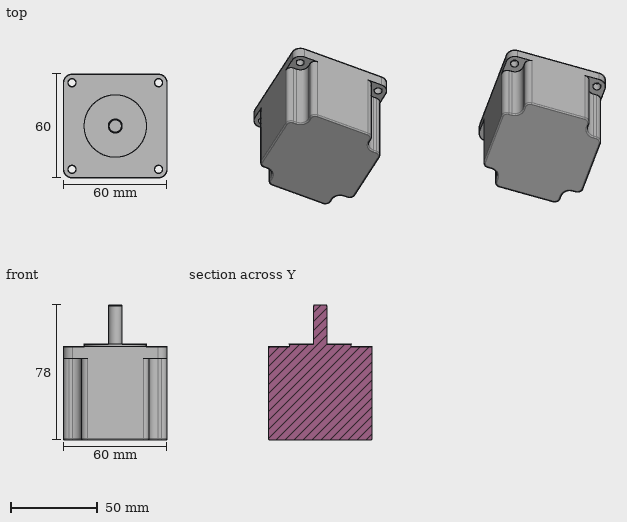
import cadquery as cq
import math

total_height = 78.0
side = 60.0
half_side = side / 2

flange_top = 54.0
flange_thickness = 7.0
flange_bottom = flange_top - flange_thickness
corner_radius = 5.2
hole_spacing = 50.0
hole_diameter = 4.5

lobe_radius = 3.35
relief_depth = 2 * corner_radius
bottom_rounding = 0.8

boss_diameter = 36.0
boss_height = 1.5
boss_top = flange_top + boss_height

shaft_diameter = 8.0
shaft_radius = shaft_diameter / 2
shaft_chamfer = 0.5
flat_depth = 0.5
flat_start = boss_top + 2.4


def make_flange():
    plate = (
        cq.Workplane("XY")
        .workplane(offset=flange_bottom)
        .rect(side, side)
        .extrude(flange_thickness)
        .edges("|Z")
        .fillet(corner_radius)
    )
    return (
        plate.faces(">Z")
        .workplane(origin=(0, 0, flange_top))
        .rect(hole_spacing, hole_spacing, forConstruction=True)
        .vertices()
        .hole(hole_diameter)
    )


def make_corner_relief():
    """Cutter for the +X +Y corner: a round-bottomed groove opening through two rounded lobes."""
    wall = half_side - relief_depth
    lobe_start = wall - lobe_radius
    lobe_end = half_side - lobe_radius
    groove_center = half_side - corner_radius
    groove_middle = groove_center - corner_radius * math.sqrt(0.5)
    lobe_bulge = lobe_radius * math.sqrt(0.5)
    return (
        cq.Workplane("XY")
        .moveTo(half_side, half_side)
        .lineTo(half_side, lobe_start)
        .threePointArc((lobe_end + lobe_bulge, lobe_start + lobe_bulge), (lobe_end, wall))
        .lineTo(groove_center, wall)
        .threePointArc((groove_middle, groove_middle), (wall, groove_center))
        .lineTo(wall, lobe_end)
        .threePointArc((lobe_start + lobe_bulge, lobe_end + lobe_bulge), (lobe_start, half_side))
        .close()
        .extrude(flange_bottom)
    )


def make_body():
    body = cq.Workplane("XY").rect(side, side).extrude(flange_bottom)
    relief = make_corner_relief()
    for quarter_turn in range(4):
        body = body.cut(relief.rotate((0, 0, 0), (0, 0, 1), 90 * quarter_turn))
    return body.faces("<Z").edges().fillet(bottom_rounding)


def make_boss():
    return cq.Workplane("XY").workplane(offset=flange_top).circle(boss_diameter / 2).extrude(boss_height)


def make_shaft():
    shaft = (
        cq.Workplane("XY")
        .workplane(offset=boss_top)
        .circle(shaft_radius)
        .extrude(total_height - boss_top)
        .faces(">Z")
        .chamfer(shaft_chamfer)
    )
    flat_cutter = (
        cq.Workplane("XY")
        .workplane(offset=flat_start)
        .center(0, shaft_radius)
        .rect(shaft_diameter, 2 * flat_depth)
        .extrude(total_height - flat_start)
    )
    return shaft.cut(flat_cutter)


result = make_body().union(make_flange()).union(make_boss()).union(make_shaft())